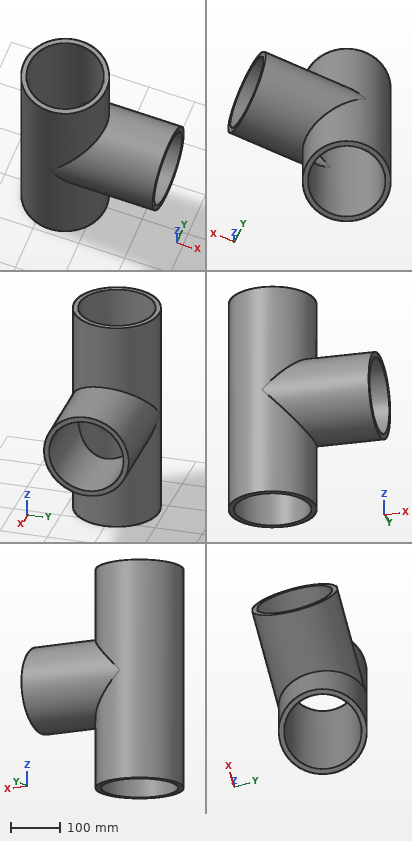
import cadquery as cq

run_length = 458.0
outer_diameter = 180.0
wall = 11.0
branch_reach = 225.0

outer_radius = outer_diameter / 2
bore_radius = outer_radius - wall


def tee(radius):
    """Solid tee of the given radius, with the run along Z and the branch along +X."""
    run = cq.Workplane("XY").circle(radius).extrude(run_length / 2, both=True)
    branch = cq.Workplane("YZ").circle(radius).extrude(branch_reach)
    return run.union(branch)


result = tee(outer_radius).cut(tee(bore_radius))